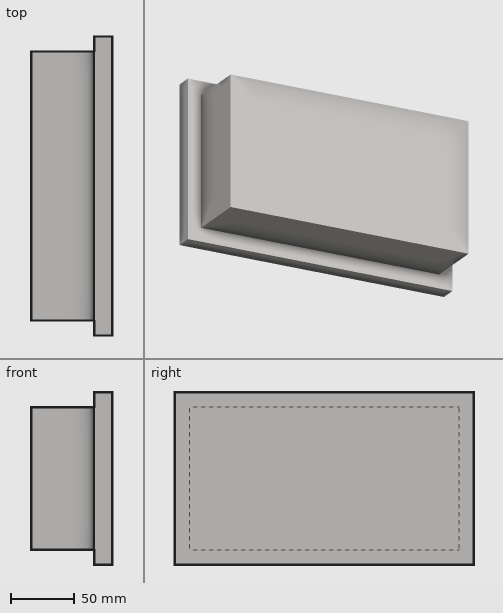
import cadquery as cq

total_depth = 64.4
flange_width = 236.8
flange_height = 136.8

body_depth = 50.0
flange_overhang = 11.9

flange_thickness = total_depth - body_depth
body_width = flange_width - 2 * flange_overhang
body_height = flange_height - 2 * flange_overhang


def make_flange():
    """Rectangular plate whose -X face lies on the plane X = 0."""
    return cq.Workplane("YZ").rect(flange_width, flange_height).extrude(flange_thickness)


def make_body():
    """Rectangular block centred on the flange, reaching from X = 0 toward -X."""
    return cq.Workplane("YZ").rect(body_width, body_height).extrude(-body_depth)


result = make_flange().union(make_body())